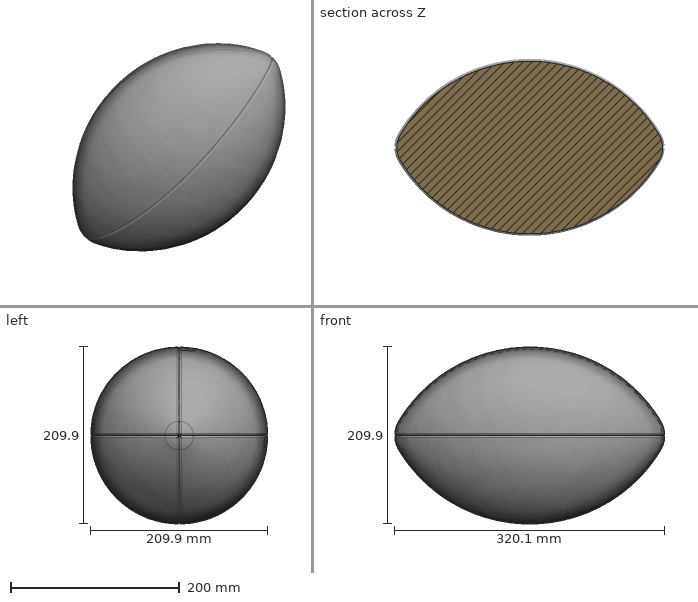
import math

import cadquery as cq

belly_radius = 105.0
tip_x = 160.25
nose_radius = 33.0

panel_count = 4
panel_angle = 360 / panel_count
edge_radius = 2.5

nose_center_x = tip_x - nose_radius
side_radius = (nose_center_x**2 + belly_radius**2 - nose_radius**2) / (2 * (belly_radius - nose_radius))
side_drop = side_radius - belly_radius

blend_angle = math.atan2(side_drop, nose_center_x)
blend_x = nose_center_x + nose_radius * math.cos(blend_angle)
blend_r = nose_radius * math.sin(blend_angle)


def panel():
    """One sector of the ball with the outer edges of its two flat sides rounded."""
    nose_mid_x = nose_center_x + nose_radius * math.cos(blend_angle / 2)
    nose_mid_r = nose_radius * math.sin(blend_angle / 2)
    half_outline = (
        cq.Workplane("XZ")
        .moveTo(-tip_x, 0)
        .threePointArc((-nose_mid_x, nose_mid_r), (-blend_x, blend_r))
        .threePointArc((0, belly_radius), (blend_x, blend_r))
        .threePointArc((nose_mid_x, nose_mid_r), (tip_x, 0))
        .close()
    )
    sector = half_outline.revolve(panel_angle, (0, 0, 0), (1, 0, 0))
    return sector.faces("%PLANE").edges("%CIRCLE").fillet(edge_radius)


first_panel = panel()
result = first_panel
for index in range(1, panel_count):
    result = result.union(first_panel.rotate((0, 0, 0), (1, 0, 0), index * panel_angle))